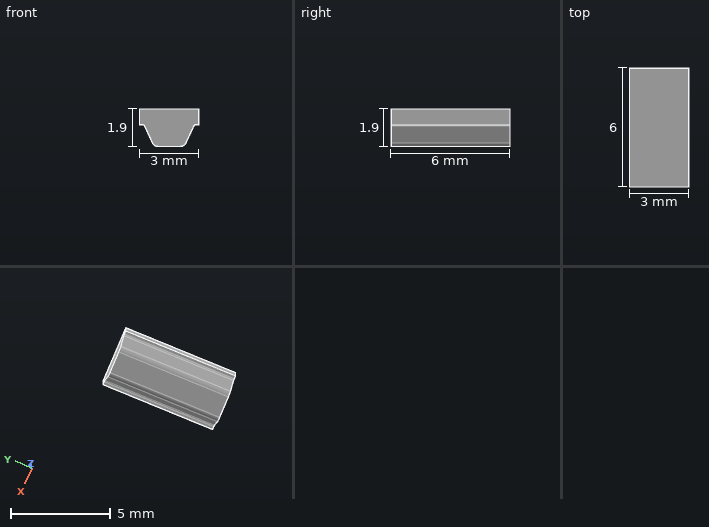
import cadquery as cq
import math

width = 3.0
length = 6.0
height = 1.9

backing_thickness = 0.81
tooth_height = height - backing_thickness
flank_angle = 25.0
root_width = 2.55
tip_width = root_width - 2 * tooth_height * math.tan(math.radians(flank_angle))
tip_radius = 0.3
root_radius = 0.09

backing_bottom = height / 2 - backing_thickness

backing = cq.Workplane("XY").box(width, length, backing_thickness).translate(
    (0, 0, height / 2 - backing_thickness / 2)
)

tooth = (
    cq.Workplane("XZ")
    .polyline([
        (-root_width / 2, backing_bottom),
        (root_width / 2, backing_bottom),
        (tip_width / 2, -height / 2),
        (-tip_width / 2, -height / 2),
    ])
    .close()
    .extrude(length / 2, both=True)
)

tooth = tooth.faces("<Z").edges("|Y").fillet(tip_radius)
root_corners = cq.selectors.BoxSelector(
    (-root_width / 2 - root_radius, -length, backing_bottom - root_radius / 2),
    (root_width / 2 + root_radius, length, backing_bottom + root_radius / 2),
)
result = backing.union(tooth).edges("|Y").edges(root_corners).fillet(root_radius)